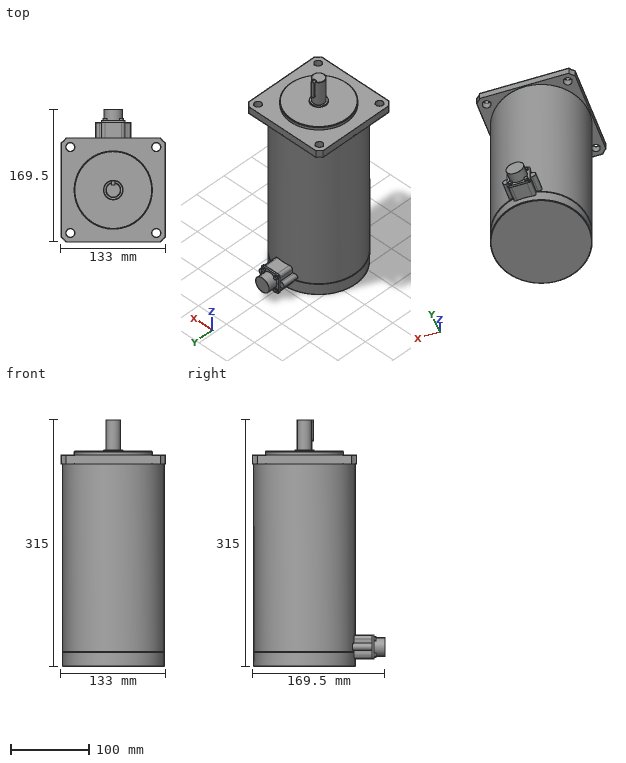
import cadquery as cq
import math

TOTAL_HEIGHT = 315.0
FLANGE_TOP = 270.0
FLANGE_THICKNESS = 11.3
PILOT_HEIGHT = 5.0
COLLAR_HEIGHT = 1.5
GROOVE_LEVEL = 19.0

HOUSING_DIAMETER = 130.0
HOUSING_CHAMFER = 1.0
GROOVE_WIDTH = 1.0
GROOVE_DEPTH = 0.3

FLANGE_SIDE = 133.0
CORNER_CUT = 6.3
CORNER_ARC_RADIUS = 23.0
MOUNTING_HOLE_DIAMETER = 11.0
MOUNTING_HOLE_SPACING = 109.5
PILOT_DIAMETER = 100.0
PILOT_CHAMFER = 1.0
COLLAR_DIAMETER = 25.0
COLLAR_TOP_DIAMETER = 24.0

SHAFT_DIAMETER = 19.0
SHAFT_CHAMFER = 0.47
KEY_WIDTH = 5.0
KEY_HEIGHT = 5.0
KEY_LENGTH = 27.0
KEYWAY_FLOOR = 6.3

CONNECTOR_LEVEL = 25.2
CONNECTOR_TIP = 103.0
PLUG_DIAMETER = 24.0
PLUG_LENGTH = 14.2
PLATE_SIDE = 30.5
BOX_SIDE = 30.2
PLATE_THICKNESS = 2.8
PLATE_CORNER_RADIUS = 2.2
BOX_CORNER_RADIUS = 4.7
LUG_SPAN = 44.7
LUG_DIAMETER = 9.5
SCREW_HEAD_DIAMETER = 5.5
SCREW_HEAD_HEIGHT = 2.2
SCREW_SPACING = 21.0

PLATE_FRONT = CONNECTOR_TIP - PLUG_LENGTH
BOX_FRONT = PLATE_FRONT - PLATE_THICKNESS


def disc(diameter, bottom, top):
    """Cylinder about the motor axis between two levels."""
    return cq.Workplane("XY").workplane(offset=bottom).circle(diameter / 2).extrude(top - bottom)


def make_housing():
    """Round housing with a chamfered bottom edge and a fine groove above the end cap."""
    housing = disc(HOUSING_DIAMETER, 0, FLANGE_TOP - FLANGE_THICKNESS).faces("<Z").chamfer(HOUSING_CHAMFER)
    groove_plane = cq.Workplane("XY").workplane(offset=GROOVE_LEVEL)
    groove = (
        groove_plane.circle(HOUSING_DIAMETER / 2)
        .circle(HOUSING_DIAMETER / 2 - GROOVE_DEPTH)
        .extrude(GROOVE_WIDTH / 2, both=True)
    )
    return housing.cut(groove)


def make_flange():
    """Square plate whose corners are cut by shallow hollow arcs, with four through holes."""
    half = FLANGE_SIDE / 2
    half_chord = CORNER_CUT / math.sqrt(2)
    chord_distance = math.sqrt(2) * (half - CORNER_CUT / 2)
    arc_distance = chord_distance + math.sqrt(CORNER_ARC_RADIUS**2 - half_chord**2)
    arc_center = arc_distance / math.sqrt(2)

    flange = cq.Workplane("XY").workplane(offset=FLANGE_TOP - FLANGE_THICKNESS)
    plate = flange.rect(FLANGE_SIDE, FLANGE_SIDE).extrude(FLANGE_THICKNESS)
    corners = flange.rect(2 * arc_center, 2 * arc_center, forConstruction=True).vertices()
    holes = flange.rect(MOUNTING_HOLE_SPACING, MOUNTING_HOLE_SPACING, forConstruction=True).vertices()
    plate = plate.cut(corners.circle(CORNER_ARC_RADIUS).extrude(FLANGE_THICKNESS))
    return plate.cut(holes.circle(MOUNTING_HOLE_DIAMETER / 2).extrude(FLANGE_THICKNESS))


def make_pilot():
    """Centering disc on the flange, carrying a slightly tapered collar around the shaft."""
    pilot_top = FLANGE_TOP + PILOT_HEIGHT
    pilot = disc(PILOT_DIAMETER, FLANGE_TOP, pilot_top).faces(">Z").chamfer(PILOT_CHAMFER)
    taper_angle = math.degrees(math.atan2(COLLAR_DIAMETER - COLLAR_TOP_DIAMETER, 2 * COLLAR_HEIGHT))
    collar = cq.Workplane("XY").workplane(offset=pilot_top).circle(COLLAR_DIAMETER / 2)
    collar = collar.extrude(COLLAR_HEIGHT, taper=taper_angle)
    return pilot.union(collar)


def round_ended_bar():
    """Bar along Z with half-round ends, standing on the keyway floor, its top at the shaft end."""
    return (
        cq.Workplane("XZ", origin=(0, KEYWAY_FLOOR, TOTAL_HEIGHT - KEY_LENGTH / 2))
        .slot2D(KEY_LENGTH, KEY_WIDTH, 90)
        .extrude(-KEY_HEIGHT)
    )


def make_shaft():
    """Shaft whose keyway has a round lower end and runs out through the shaft end."""
    shaft = disc(SHAFT_DIAMETER, FLANGE_TOP, TOTAL_HEIGHT).faces(">Z").chamfer(SHAFT_CHAMFER)
    upper_length = KEY_LENGTH - KEY_WIDTH / 2
    open_end = cq.Workplane("XY").box(KEY_WIDTH, KEY_HEIGHT, upper_length, centered=(True, False, False))
    open_end = open_end.translate((0, KEYWAY_FLOOR, TOTAL_HEIGHT - upper_length))
    return shaft.cut(round_ended_bar()).cut(open_end)


def connector_plane(y):
    """Sketch plane across the connector axis; it extrudes toward +Y."""
    return cq.Workplane("XZ", origin=(0, y, CONNECTOR_LEVEL)).transformed(rotate=(180, 0, 0))


def make_connector():
    """Connector from the motor axis outward; its root lies inside the housing."""
    box = connector_plane(0).rect(BOX_SIDE, BOX_SIDE).extrude(BOX_FRONT)
    box = box.edges("|Y").fillet(BOX_CORNER_RADIUS)
    lugs = connector_plane(0).slot2D(LUG_SPAN, LUG_DIAMETER).extrude(BOX_FRONT)
    plate = connector_plane(BOX_FRONT).rect(PLATE_SIDE, PLATE_SIDE).extrude(PLATE_THICKNESS)
    plate = plate.edges("|Y").fillet(PLATE_CORNER_RADIUS)
    plug = connector_plane(PLATE_FRONT).circle(PLUG_DIAMETER / 2).extrude(PLUG_LENGTH)
    screw_heads = (
        connector_plane(PLATE_FRONT)
        .rect(SCREW_SPACING, SCREW_SPACING, forConstruction=True)
        .vertices()
        .circle(SCREW_HEAD_DIAMETER / 2)
        .extrude(SCREW_HEAD_HEIGHT)
    )
    return box.union(lugs).union(plate).union(plug).union(screw_heads)


def make_motor():
    """Housing, flange, pilot, connector and shaft as one solid."""
    motor = make_housing().union(make_flange()).union(make_pilot())
    return motor.union(make_connector()).union(make_shaft())


def make_key():
    """Key that fills the keyway and stands proud of the shaft."""
    return round_ended_bar()


motor = make_motor()
key = make_key()
result = cq.Compound.makeCompound([motor.val(), key.val()])